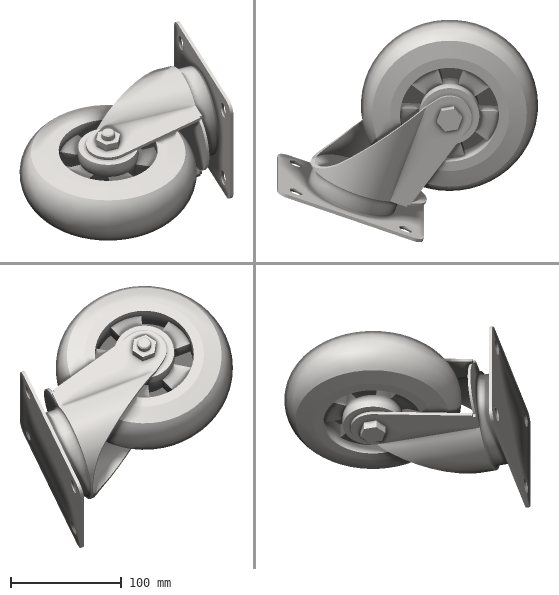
import cadquery as cq
import math


OVERALL_LENGTH = 204

WHEEL_RADIUS = 80.0
TREAD_EDGE_RADIUS = 69.8
TREAD_EDGE_HALF_WIDTH = 23.0
RIM_RADIUS = 53.9
RIM_HALF_WIDTH = 25.7
RECESS_RADIUS = 44.7
HUB_RADIUS = 55.5 / 2
HUB_END_RADIUS = 27.0
HUB_WAIST_RADIUS = 26.3
HUB_CROWN_Z = 23.5
SPOKE_HALF_WIDTH = 16.0
WEB_HALF_WIDTH = 1.0
SPOKE_COUNT = 5
GAP_FIRST_ANGLE = 36
GAP_HALF_ANGLE = 18
GAP_SIDE_OFFSET = 1.2

SHEET = 3.0
FORK_FLOOR_THICKNESS = 2.5
FORK_RADIUS = 45.5
LEG_OUTER_Z = 33.3
LEG_INNER_Z = LEG_OUTER_Z - SHEET
LEG_TIP_RADIUS = 20.0
SWIVEL_X = -54.0
REAR_EDGE_ANGLE = 36
REAR_EDGE_LENGTH = 104
BASE_FRONT_X = -7.1
LEG_FRONT_X = -5.0
TAB_END_X = 11.2

PLATE_TOP_Y = 115.0
PLATE_LENGTH = 140.0
PLATE_WIDTH = 110.0
PLATE_CORNER_RADIUS = 10.0
HOLE_SPACING_X = 105.0
HOLE_SPACING_Z = 77.5
HOLE_WIDTH = 12.0
HOLE_LENGTH = 13.9
BEARING_RADIUS = 83.2 / 2
BEARING_HEIGHT = 18.4
BEARING_NECK_RADIUS = 40.0
BEARING_FILLET = 2
PLATE_BOTTOM_Y = PLATE_TOP_Y - SHEET
FORK_TOP_Y = PLATE_BOTTOM_Y - BEARING_HEIGHT
FORK_FLOOR_Y = FORK_TOP_Y - FORK_FLOOR_THICKNESS

BOLT_DIAMETER = 12.0
BOLT_END_Z = 47
BOLT_CHAMFER = 1.0
HEX_ACROSS_FLATS = 20.0
HEX_HEIGHT = 7.8
HEX_HALF_SECTOR = 30


def make_rim_and_hub():
    """Crowned tread and barrel-shaped hub, joined by a thin central web."""
    return (
        cq.Workplane("XZ")
        .moveTo(0, -LEG_INNER_Z)
        .lineTo(HUB_END_RADIUS, -LEG_INNER_Z)
        .threePointArc((HUB_RADIUS, -HUB_CROWN_Z), (HUB_WAIST_RADIUS, -SPOKE_HALF_WIDTH))
        .lineTo(HUB_WAIST_RADIUS, -WEB_HALF_WIDTH)
        .lineTo(RECESS_RADIUS, -WEB_HALF_WIDTH)
        .lineTo(RECESS_RADIUS, -RIM_HALF_WIDTH)
        .lineTo(RIM_RADIUS, -RIM_HALF_WIDTH)
        .lineTo(TREAD_EDGE_RADIUS, -TREAD_EDGE_HALF_WIDTH)
        .threePointArc((WHEEL_RADIUS, 0), (TREAD_EDGE_RADIUS, TREAD_EDGE_HALF_WIDTH))
        .lineTo(RIM_RADIUS, RIM_HALF_WIDTH)
        .lineTo(RECESS_RADIUS, RIM_HALF_WIDTH)
        .lineTo(RECESS_RADIUS, WEB_HALF_WIDTH)
        .lineTo(HUB_WAIST_RADIUS, WEB_HALF_WIDTH)
        .lineTo(HUB_WAIST_RADIUS, SPOKE_HALF_WIDTH)
        .threePointArc((HUB_RADIUS, HUB_CROWN_Z), (HUB_END_RADIUS, LEG_INNER_Z))
        .lineTo(0, LEG_INNER_Z)
        .close()
        .revolve(360, (0, 0), (0, 1))
    )


def make_spokes():
    """Five wide spokes, reaching into the rim, left between wedge-shaped gaps."""
    half_angle = math.radians(GAP_HALF_ANGLE)
    apex_x = GAP_SIDE_OFFSET / math.sin(half_angle)
    end_x = apex_x + WHEEL_RADIUS * math.cos(half_angle)
    end_y = WHEEL_RADIUS * math.sin(half_angle)
    bottom_plane = cq.Workplane("XY", origin=(0, 0, -SPOKE_HALF_WIDTH))
    gap_corners = [(apex_x, 0), (end_x, -end_y), (end_x, end_y)]
    gap = bottom_plane.polyline(gap_corners).close().extrude(2 * SPOKE_HALF_WIDTH)
    spokes = bottom_plane.circle((RECESS_RADIUS + RIM_RADIUS) / 2).extrude(2 * SPOKE_HALF_WIDTH)
    for index in range(SPOKE_COUNT):
        angle = GAP_FIRST_ANGLE + index * 360 / SPOKE_COUNT
        spokes = spokes.cut(gap.rotate((0, 0, 0), (0, 0, 1), angle))
    return spokes


def make_wheel():
    """Complete wheel: rim, hub, web and spokes."""
    return make_rim_and_hub().union(make_spokes())


def fork_section(radius, half_width):
    """Round back of the given radius, closed by two straight legs, extruded down from the fork top."""
    corner_x = SWIVEL_X + math.sqrt(radius**2 - half_width**2)
    return (
        cq.Workplane("XZ", origin=(0, FORK_TOP_Y, 0))
        .moveTo(LEG_TIP_RADIUS, half_width)
        .lineTo(corner_x, half_width)
        .threePointArc((SWIVEL_X - radius, 0), (corner_x, -half_width))
        .lineTo(LEG_TIP_RADIUS, -half_width)
        .close()
        .extrude(FORK_TOP_Y + LEG_TIP_RADIUS)
    )


def fork_side_profile():
    """Side outline of the fork: sloped edges tangent to the round leg tip."""
    rear_angle = math.radians(REAR_EDGE_ANGLE)
    rear_tangent = (-LEG_TIP_RADIUS * math.cos(rear_angle), -LEG_TIP_RADIUS * math.sin(rear_angle))
    rear_bend = (
        rear_tangent[0] - REAR_EDGE_LENGTH * math.sin(rear_angle),
        rear_tangent[1] + REAR_EDGE_LENGTH * math.cos(rear_angle),
    )
    front_distance = math.hypot(LEG_FRONT_X, FORK_FLOOR_Y)
    front_angle = math.atan2(FORK_FLOOR_Y, LEG_FRONT_X) - math.acos(LEG_TIP_RADIUS / front_distance)
    front_tangent = (LEG_TIP_RADIUS * math.cos(front_angle), LEG_TIP_RADIUS * math.sin(front_angle))
    return (
        cq.Workplane("XY", origin=(0, 0, -FORK_RADIUS))
        .moveTo(BASE_FRONT_X, FORK_TOP_Y)
        .lineTo(BASE_FRONT_X, FORK_FLOOR_Y)
        .lineTo(LEG_FRONT_X, FORK_FLOOR_Y)
        .lineTo(*front_tangent)
        .threePointArc((0, -LEG_TIP_RADIUS), rear_tangent)
        .lineTo(*rear_bend)
        .tangentArcPoint((SWIVEL_X - FORK_RADIUS, FORK_TOP_Y), relative=False)
        .close()
        .extrude(2 * FORK_RADIUS)
    )


def make_fork():
    """Bent sheet fork with a floor that ends in a rounded tab between the legs."""
    shell = fork_section(FORK_RADIUS, LEG_OUTER_Z).cut(fork_section(FORK_RADIUS - SHEET, LEG_INNER_Z))
    tab_center_x = TAB_END_X - LEG_INNER_Z
    floor = (
        cq.Workplane("XZ", origin=(SWIVEL_X, FORK_TOP_Y, 0))
        .circle(FORK_RADIUS - SHEET / 2)
        .extrude(FORK_FLOOR_THICKNESS)
    )
    tab = (
        cq.Workplane("XZ", origin=(0, FORK_TOP_Y, 0))
        .moveTo(SWIVEL_X, LEG_INNER_Z)
        .lineTo(tab_center_x, LEG_INNER_Z)
        .threePointArc((TAB_END_X, 0), (tab_center_x, -LEG_INNER_Z))
        .lineTo(SWIVEL_X, -LEG_INNER_Z)
        .close()
        .extrude(FORK_FLOOR_THICKNESS)
    )
    return shell.union(floor).intersect(fork_side_profile()).union(tab)


def make_plate():
    """Mounting plate with rounded corners and four slotted holes."""
    plate_center_x = WHEEL_RADIUS - OVERALL_LENGTH + PLATE_LENGTH / 2
    return (
        cq.Workplane("XZ", origin=(plate_center_x, PLATE_TOP_Y, 0))
        .rect(PLATE_LENGTH, PLATE_WIDTH)
        .extrude(SHEET)
        .edges("|Y")
        .fillet(PLATE_CORNER_RADIUS)
        .faces(">Y")
        .workplane(origin=(plate_center_x, PLATE_TOP_Y, 0))
        .rarray(HOLE_SPACING_X, HOLE_SPACING_Z, 2, 2)
        .slot2D(HOLE_LENGTH, HOLE_WIDTH, 90)
        .cutThruAll()
    )


def make_bearing():
    """Swivel bearing housing: short neck at the plate, concave fillets at both ends."""
    return (
        cq.Workplane("XY", origin=(SWIVEL_X, 0, 0))
        .moveTo(0, PLATE_BOTTOM_Y)
        .lineTo(BEARING_NECK_RADIUS + BEARING_FILLET, PLATE_BOTTOM_Y)
        .radiusArc((BEARING_NECK_RADIUS, PLATE_BOTTOM_Y - BEARING_FILLET), -BEARING_FILLET)
        .lineTo(BEARING_RADIUS, PLATE_BOTTOM_Y - BEARING_FILLET)
        .lineTo(BEARING_RADIUS, FORK_TOP_Y + BEARING_FILLET)
        .radiusArc((BEARING_RADIUS + BEARING_FILLET, FORK_TOP_Y), -BEARING_FILLET)
        .lineTo(0, FORK_TOP_Y)
        .close()
        .revolve(360, (0, 0), (0, 1))
    )


def make_hex(bottom_z):
    """Hexagon with two flats facing along X."""
    across_corners = HEX_ACROSS_FLATS / math.cos(math.radians(HEX_HALF_SECTOR))
    hexagon = cq.Workplane("XY", origin=(0, 0, bottom_z)).polygon(6, across_corners).extrude(HEX_HEIGHT)
    return hexagon.rotate((0, 0, 0), (0, 0, 1), HEX_HALF_SECTOR)


def make_axle_bolt():
    """Axle bolt with its head below, its nut above and a chamfered end."""
    head_bottom_z = -LEG_OUTER_Z - HEX_HEIGHT
    shank = (
        cq.Workplane("XY", origin=(0, 0, head_bottom_z))
        .circle(BOLT_DIAMETER / 2)
        .extrude(BOLT_END_Z - head_bottom_z)
        .faces(">Z")
        .chamfer(BOLT_CHAMFER)
    )
    return shank.union(make_hex(head_bottom_z)).union(make_hex(LEG_OUTER_Z))


result = make_plate().union(make_bearing()).union(make_fork()).union(make_wheel()).union(make_axle_bolt())